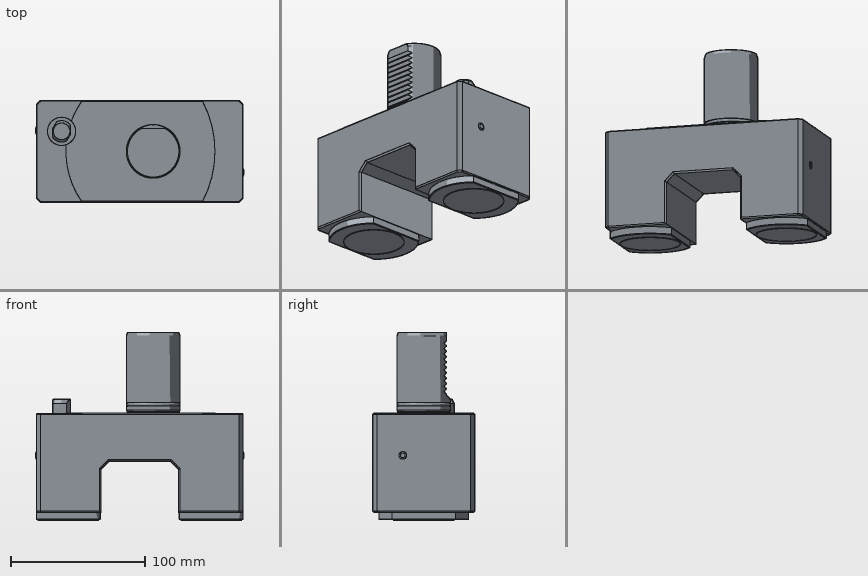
import math

import cadquery as cq


body_length = 154.0
body_width = 76.0
body_height = 74.0
body_center_x = -10.0
corner_chamfer = 3.0
edge_chamfer = 1.0
slot_width = 57.5
slot_depth = 38.0
slot_corner = 6.0
slot_edge_chamfer = 1.25

seat_step = 0.5
seat_left_x = -65.0
seat_left_radius = 65.0
seat_right_x = 46.0
seat_right_radius = 80.0

shank_diameter = 40.0
shank_height = 60.0
tip_chamfer_height = 2.6
tip_chamfer_angle = 18.0
relief_diameter = 39.0
relief_height = 1.1
relief_chamfer_top_z = 2.0
neck_diameter = 38.6
neck_height = 0.7
ring_section = 2.5
ring_bottom_z = 5.1

flat_y = 17.0
flat_bottom_z = 13.2
tooth_count = 10
tooth_pitch = 4.0
tooth_depth = 1.9
first_tooth_z = 15.8

pin_x = -68.2
pin_y = 14.9
pin_diameter = 16.0
pin_top_z = 10.3
pin_chamfer_width = 1.8
pin_chamfer_height = 3.1
pin_across_flats = 13.5
pin_flat_angles = (0.0, -30.0)
spotface_diameter = 21.0
spotface_depth = 0.1

plug_base_diameter = 5.7
plug_tip_diameter = 3.6
plug_height = 0.54
plug_y = 15.6
plug_z = -31.6

pad_diameter = 67.0
pad_width = 47.7
pad_height = 5.5
pad_chamfer = 0.5
pad_disc_diameter = 45.0
pad_disc_height = 0.5

half_length = body_length / 2
half_width = body_width / 2


def slot_outline(growth):
    """Slot profile in XZ, offset outward by growth and running below the legs."""
    half_slot = slot_width / 2 + growth
    roof_z = slot_depth - body_height + growth
    corner = slot_corner + growth * (2 - math.sqrt(2))
    below_z = -body_height - edge_chamfer
    return [
        (body_center_x - half_slot, below_z),
        (body_center_x - half_slot, roof_z - corner),
        (body_center_x - half_slot + corner, roof_z),
        (body_center_x + half_slot - corner, roof_z),
        (body_center_x + half_slot, roof_z - corner),
        (body_center_x + half_slot, below_z),
    ]


def slot_cutter():
    """Slot through the whole width, flared by a chamfer at both side faces."""
    cutter = (
        cq.Workplane("XZ").polyline(slot_outline(0)).close()
        .extrude(half_width, both=True)
    )
    for side in (-1, 1):
        outer_plane = cq.Workplane("XZ", origin=(0, side * half_width, 0))
        flare = (
            outer_plane.polyline(slot_outline(slot_edge_chamfer)).close()
            .workplane(offset=side * slot_edge_chamfer)
            .polyline(slot_outline(0)).close()
            .loft(ruled=True)
        )
        cutter = cutter.union(flare)
    return cutter


def raised_seat_area():
    """Prism covering the part of the top face that stays at full height."""
    left_sagitta = seat_left_radius - math.sqrt(seat_left_radius**2 - half_width**2)
    right_sagitta = seat_right_radius - math.sqrt(seat_right_radius**2 - half_width**2)
    return (
        cq.Workplane("XY", origin=(0, 0, -seat_step))
        .moveTo(seat_left_x + left_sagitta, -half_width)
        .lineTo(seat_right_x - right_sagitta, -half_width)
        .threePointArc((seat_right_x, 0), (seat_right_x - right_sagitta, half_width))
        .lineTo(seat_left_x + left_sagitta, half_width)
        .threePointArc((seat_left_x, 0), (seat_left_x + left_sagitta, -half_width))
        .close()
        .extrude(seat_step)
    )


def make_body():
    block = (
        cq.Workplane("XY", origin=(body_center_x, 0, -body_height))
        .rect(body_length, body_width)
        .extrude(body_height)
        .edges("|Z").chamfer(corner_chamfer)
        .faces("<Z or >Z").chamfer(edge_chamfer)
    )
    top_layer = (
        cq.Workplane("XY", origin=(body_center_x, 0, -seat_step))
        .rect(body_length, body_width)
        .extrude(seat_step)
    )
    lowered_area = top_layer.cut(raised_seat_area())
    spotface = (
        cq.Workplane("XY", origin=(pin_x, pin_y, -seat_step - spotface_depth))
        .circle(spotface_diameter / 2)
        .extrude(seat_step + spotface_depth)
    )
    return block.cut(lowered_area).cut(spotface).cut(slot_cutter())


def make_shank():
    radius = shank_diameter / 2
    relief_radius = relief_diameter / 2
    neck_radius = neck_diameter / 2
    tip_radius = radius - tip_chamfer_height * math.tan(math.radians(tip_chamfer_angle))
    ring_center_radius = radius - ring_section / 2
    ring_top_z = ring_bottom_z + ring_section
    ring_middle_z = ring_bottom_z + ring_section / 2
    root_z = -edge_chamfer
    shank = (
        cq.Workplane("XZ")
        .moveTo(0, root_z)
        .lineTo(neck_radius, root_z)
        .lineTo(neck_radius, neck_height)
        .lineTo(relief_radius, neck_height)
        .lineTo(relief_radius, relief_height)
        .lineTo(radius, relief_chamfer_top_z)
        .lineTo(radius, ring_bottom_z)
        .lineTo(ring_center_radius, ring_bottom_z)
        .threePointArc((radius, ring_middle_z), (ring_center_radius, ring_top_z))
        .lineTo(radius, ring_top_z)
        .lineTo(radius, shank_height - tip_chamfer_height)
        .lineTo(tip_radius, shank_height)
        .lineTo(0, shank_height)
        .close()
        .revolve(360, (0, 0), (0, 1))
    )
    return shank.cut(tooth_cutter())


def tooth_cutter():
    """Flat with a 45 degree run-out at its foot and 90 degree V grooves along it."""
    radius = shank_diameter / 2
    runout = radius - flat_y
    outline = [(flat_y, flat_bottom_z)]
    for index in range(tooth_count):
        root_z = first_tooth_z + index * tooth_pitch
        outline.append((flat_y, root_z - tooth_depth))
        outline.append((flat_y - tooth_depth, root_z))
    last_root_z = first_tooth_z + (tooth_count - 1) * tooth_pitch
    outline += [
        (flat_y, last_root_z + tooth_depth),
        (flat_y, shank_height),
        (radius, shank_height),
        (radius, flat_bottom_z - runout),
    ]
    return cq.Workplane("YZ").polyline(outline).close().extrude(radius, both=True)


def make_pin():
    radius = pin_diameter / 2
    root_z = -seat_step - edge_chamfer
    pin = (
        cq.Workplane("XY", origin=(pin_x, pin_y, root_z))
        .circle(radius)
        .extrude(pin_top_z - root_z)
        .faces(">Z").chamfer(pin_chamfer_height, pin_chamfer_width)
    )
    for angle in pin_flat_angles:
        between_flats = (
            cq.Workplane("XY")
            .rect(pin_across_flats, 2 * pin_diameter)
            .extrude(pin_top_z - root_z)
            .rotate((0, 0, 0), (0, 0, 1), angle)
            .translate((pin_x, pin_y, root_z))
        )
        pin = pin.intersect(between_flats)
    return pin


def make_plug(side):
    """Tapered plug on the end face at the given X side (-1 or 1)."""
    face_x = body_center_x + side * half_length
    plane = cq.Plane(origin=(face_x, -side * plug_y, plug_z), xDir=(0, 1, 0), normal=(side, 0, 0))
    return (
        cq.Workplane(plane)
        .circle(plug_base_diameter / 2)
        .workplane(offset=plug_height)
        .circle(plug_tip_diameter / 2)
        .loft()
    )


def make_pad(side):
    """Round pad with two flats and a contact disc, under the leg at the given X side."""
    center_x = body_center_x + side * (half_length - pad_width / 2)
    slab = cq.Workplane("XY").rect(pad_width, pad_diameter).extrude(-pad_height)
    pad = (
        cq.Workplane("XY")
        .circle(pad_diameter / 2)
        .extrude(-pad_height)
        .intersect(slab)
        .faces("<Z").chamfer(pad_chamfer)
    )
    disc = (
        cq.Workplane("XY")
        .circle(pad_disc_diameter / 2)
        .extrude(-pad_height - pad_disc_height)
    )
    return pad.union(disc).translate((center_x, 0, -body_height))


result = make_body().union(make_shank()).union(make_pin())
for end in (-1, 1):
    result = result.union(make_plug(end)).union(make_pad(end))